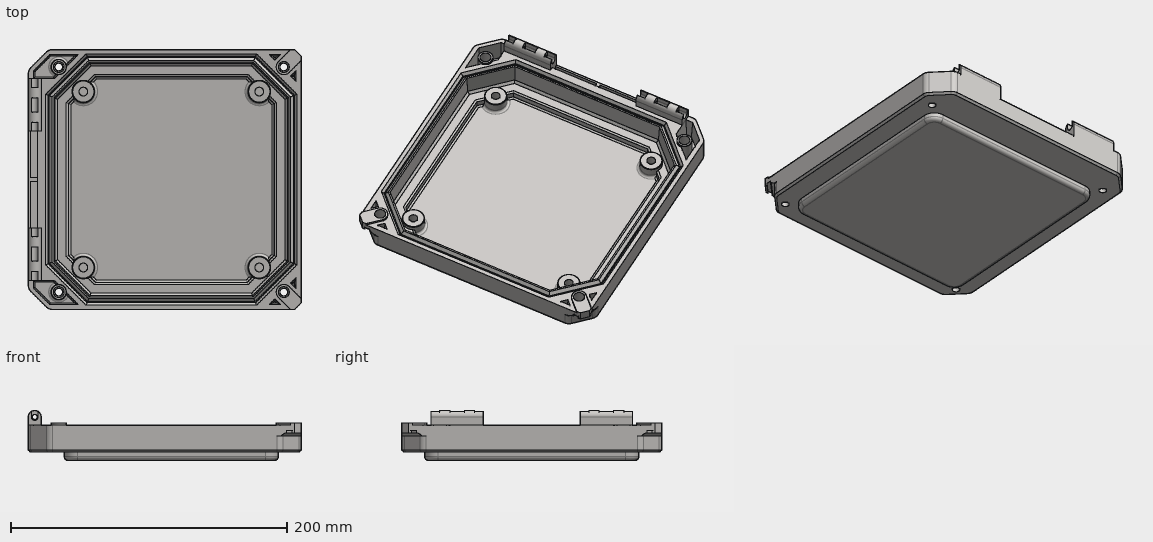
import cadquery as cq
import math


CASE_HALF = 94.2
HINGE_REACH = 9.5
SKIRT_CHAMFER = 15.0
SKIRT_RADIUS = 6.3
WALL = 3.8

FLOOR_Z = 4.4
PANEL_TOP_Z = 6.1
BEVEL_TOP_Z = 7.7
LEDGE_Z = 9.7
RIM_Z = 25.7
COLLAR_Z = 27.3
RECESS_Z = 21.2
SILL_Z = 17.8
EAR_Z = 20.2
EAR_GROOVE_Z = 22.0

HINGE_X = -CASE_HALF - HINGE_REACH
CASE_LENGTH = 2 * CASE_HALF + HINGE_REACH
CASE_CENTER_X = -HINGE_REACH / 2

PANEL_HALF = 77.5
PANEL_RADIUS = 9.5
PANEL_EDGE_RADIUS = 3.0

GROOVE_HALF = 91.0
GROOVE_CHAMFER = 29.3
GROOVE_BOTTOM_OUTER_HALF = 89.2
GROOVE_BOTTOM_INNER_HALF = 88.5
GROOVE_DEPTH = 2.2
LIP_OUTER_HALF = 86.3
LIP_INNER_HALF = 85.0
WALL_FOOT_HALF = 84.0
LEDGE_HALF = 82.3
STEP_HALF = 76.2
FLOOR_HALF = 72.8
STEP_EASE_RUN = 1.5
STEP_EASE_RISE = 0.5
LEDGE_BEVEL = WALL_FOOT_HALF - LEDGE_HALF

POST_SPACING = 127.5
POST_TOP_Z = 12.9
POST_TOP_DIAMETER = 16.2
POST_FOOT_DIAMETER = 16.6
POST_FILLET = 2.0
POST_BEVEL = 0.4
POST_ROOT = 2.0
POST_HOLE = 6.3

SCREW_POSITION = 81.5
SCREW_HOLE = 5.5
SCREW_BORE = 8.0
COLLAR_DIAMETER = 11.0
COLLAR_FILLET = 1.8
COLLAR_BEVEL = 0.2

POCKET_INNER_SUM = 157.9
POCKET_OUTER_SUM = 178.5
POCKET_DRAFT = 4.0
EAR_CHAMFER = 5.0
EAR_GROOVE_START = 3.0
EAR_GROOVE_END = 5.7
NICHE_LENGTH = 8.0
NICHE_START = 71.0

HINGE_CENTER_Y = 54.0
HINGE_LENGTH = 38.0
BARREL_RADIUS = 4.7
BARREL_Z = 31.7
PIN_HOLE = 3.5
SLOT_WIDTH = 5.0
MIDDLE_SLOT_LENGTH = 10.3
END_SLOT_LENGTH = 6.3
BARREL_X = HINGE_X + BARREL_RADIUS
HINGE_INNER_Y = HINGE_CENTER_Y - HINGE_LENGTH / 2
HINGE_OUTER_Y = HINGE_CENTER_Y + HINGE_LENGTH / 2

RECESS_WIDTH = 6.7
RECESS_WALL = 1.5
RECESS_RIB = 3.0

SIDES = (-1, 1)


def octagon(half):
    """Corners of an octagon that is a true offset of the groove outline."""
    chamfer = GROOVE_CHAMFER - (2 - math.sqrt(2)) * (GROOVE_HALF - half)
    flat = half - chamfer
    return [
        (half, flat), (flat, half), (-flat, half), (-half, flat),
        (-half, -flat), (-flat, -half), (flat, -half), (half, -flat),
    ]


def octagon_frustum(low_half, low_z, high_half, high_z):
    return (
        cq.Workplane("XY").workplane(offset=low_z).polyline(octagon(low_half)).close()
        .workplane(offset=high_z - low_z).polyline(octagon(high_half)).close()
        .loft(ruled=True)
    )


def prism(points, low_z, high_z):
    return cq.Workplane("XY").workplane(offset=low_z).polyline(points).close().extrude(high_z - low_z)


def box(x_range, y_range, z_range):
    sizes = [high - low for low, high in (x_range, y_range, z_range)]
    return cq.Workplane("XY").box(*sizes, centered=False).translate((x_range[0], y_range[0], z_range[0]))


def cylinder(x, y, diameter, low_z, high_z):
    return (
        cq.Workplane("XY").workplane(offset=low_z).center(x, y)
        .circle(diameter / 2).extrude(high_z - low_z)
    )


def turned_post(x, y, foot_z, top_z, foot_radius, top_radius, fillet, bevel):
    """Tapered round post with a hollow fillet at its foot and a bevelled top."""
    bulge = fillet * (1 - math.sqrt(0.5))
    post = (
        cq.Workplane("XZ").moveTo(0, foot_z - POST_ROOT).lineTo(foot_radius + fillet, foot_z - POST_ROOT)
        .lineTo(foot_radius + fillet, foot_z)
        .threePointArc((foot_radius + bulge, foot_z + bulge), (foot_radius, foot_z + fillet))
        .lineTo(top_radius, top_z - bevel).lineTo(top_radius - bevel, top_z).lineTo(0, top_z).close()
        .revolve(360, (0, 0, 0), (0, 1, 0))
    )
    return post.translate((x, y, 0))


def outer_shell():
    panel = (
        cq.Workplane("XY").rect(2 * PANEL_HALF, 2 * PANEL_HALF).extrude(LEDGE_Z)
        .edges("|Z").fillet(PANEL_RADIUS)
        .faces("<Z").edges().fillet(PANEL_EDGE_RADIUS)
    )
    skirt = (
        cq.Workplane("XY").workplane(offset=PANEL_TOP_Z).center(CASE_CENTER_X, 0)
        .rect(CASE_LENGTH, 2 * CASE_HALF).extrude(RIM_Z - PANEL_TOP_Z)
        .edges("|Z").chamfer(SKIRT_CHAMFER)
        .edges("|Z").fillet(SKIRT_RADIUS)
        .faces("<Z").edges().chamfer(BEVEL_TOP_Z - PANEL_TOP_Z)
    )
    return skirt.union(panel)


def corner_outline(side, inner):
    """Far corner of the case, cut square across by the ear chamfer; `inner` is where it starts."""
    tip = CASE_HALF - EAR_CHAMFER
    points = [(CASE_HALF, inner), (CASE_HALF, tip), (tip, CASE_HALF), (inner, CASE_HALF)]
    return [(x, side * y) for x, y in points]


def latch_ear(side):
    """Grooved corner overhang on the side away from the hinges, with its raised collar strip."""
    rise = EAR_Z - SILL_Z
    ear_end = SKIRT_CHAMFER
    profile = [
        (-SKIRT_RADIUS, SILL_Z), (0, SILL_Z), (rise, EAR_Z),
        (EAR_GROOVE_START, EAR_Z), (EAR_GROOVE_START, EAR_GROOVE_Z),
        (EAR_GROOVE_END, EAR_GROOVE_Z), (EAR_GROOVE_END, EAR_Z),
        (ear_end, EAR_Z), (ear_end, RIM_Z), (-SKIRT_RADIUS, RIM_Z),
    ]
    chamfer_middle = CASE_HALF - SKIRT_CHAMFER / 2
    ear = (
        cq.Workplane("XZ").polyline(profile).close().extrude(CASE_HALF / 2, both=True)
        .rotate((0, 0, 0), (0, 0, 1), side * 45)
        .translate((chamfer_middle, side * chamfer_middle, 0))
    )
    ear_bounds = prism(corner_outline(side, CASE_HALF - SKIRT_CHAMFER - SKIRT_RADIUS), 0, COLLAR_Z)

    half_strip = COLLAR_DIAMETER / 2
    strip = (
        box((0, CASE_HALF), (-half_strip, half_strip), (RIM_Z, COLLAR_Z))
        .rotate((0, 0, 0), (0, 0, 1), side * 45)
        .translate((SCREW_POSITION, side * SCREW_POSITION, 0))
    )
    strip_bounds = prism(corner_outline(side, 2 * SCREW_POSITION - CASE_HALF), 0, COLLAR_Z)
    collar = cylinder(SCREW_POSITION, side * SCREW_POSITION, COLLAR_DIAMETER, RIM_Z, COLLAR_Z)
    return ear.intersect(ear_bounds).union(strip.intersect(strip_bounds)).union(collar)


def rim_pocket(points):
    """Pocket sunk from the rim, narrowing downward."""
    depth = RIM_Z - LEDGE_Z
    return (
        cq.Workplane("XY").workplane(offset=RIM_Z).polyline(points).close()
        .extrude(-depth, taper=POCKET_DRAFT)
    )


def corner_pocket(side):
    """Pocket round a hinge-side screw hole; the hinge's end face closes it on one side."""
    outer_x = -HINGE_X - WALL
    outer_y = CASE_HALF - WALL
    points = [
        (POCKET_INNER_SUM - outer_y, outer_y),
        (POCKET_OUTER_SUM - outer_y, outer_y),
        (outer_x, POCKET_OUTER_SUM - outer_x),
        (outer_x, HINGE_OUTER_Y),
        (POCKET_INNER_SUM - HINGE_OUTER_Y, HINGE_OUTER_Y),
    ]
    return rim_pocket([(-x, side * y) for x, y in points])


def niches(side):
    """Two small triangular pockets, mirrored about the corner diagonal."""
    base = CASE_HALF - WALL
    middle = NICHE_START + NICHE_LENGTH / 2
    points = [
        (NICHE_START, base), (NICHE_START + NICHE_LENGTH, base), (middle, base - NICHE_LENGTH / 2),
    ]
    along_x = rim_pocket([(x, side * y) for x, y in points])
    along_y = rim_pocket([(y, side * x) for x, y in points])
    return along_x.union(along_y)


def cavity():
    """Octagonal well: floor, eased step, ledge, leaning side wall."""
    sections = [
        (FLOOR_HALF, FLOOR_Z),
        (FLOOR_HALF + STEP_EASE_RUN, FLOOR_Z + STEP_EASE_RISE),
        (STEP_HALF - STEP_EASE_RUN, LEDGE_Z - STEP_EASE_RISE),
        (STEP_HALF, LEDGE_Z),
        (LEDGE_HALF, LEDGE_Z),
        (WALL_FOOT_HALF, LEDGE_Z + LEDGE_BEVEL),
        (LIP_INNER_HALF, RIM_Z),
    ]
    well = cq.Workplane("XY")
    for (low_half, low_z), (high_half, high_z) in zip(sections, sections[1:]):
        if high_z > low_z:
            well = well.union(octagon_frustum(low_half, low_z, high_half, high_z))
    return well


def gasket_groove():
    bottom_z = RIM_Z - GROOVE_DEPTH
    outer = octagon_frustum(GROOVE_BOTTOM_OUTER_HALF, bottom_z, GROOVE_HALF, RIM_Z)
    lip = octagon_frustum(GROOVE_BOTTOM_INNER_HALF, bottom_z, LIP_OUTER_HALF, RIM_Z)
    return outer.cut(lip)


def hinge(side):
    """Round-topped knuckle block with a pin hole and three slots open at the top."""
    start_y = side * HINGE_CENTER_Y - HINGE_LENGTH / 2
    end_y = start_y + HINGE_LENGTH
    x_range = (HINGE_X, HINGE_X + 2 * BARREL_RADIUS)

    def rod(radius, low_y, high_y):
        return (
            cq.Workplane("XZ", origin=(BARREL_X, low_y, BARREL_Z)).circle(radius).extrude(low_y - high_y)
        )

    block = box(x_range, (start_y, end_y), (LEDGE_Z, BARREL_Z)).union(rod(BARREL_RADIUS, start_y, end_y))
    block = block.cut(rod(PIN_HOLE / 2, start_y, end_y))
    slots = (
        (start_y, start_y + END_SLOT_LENGTH),
        (side * HINGE_CENTER_Y - MIDDLE_SLOT_LENGTH / 2, side * HINGE_CENTER_Y + MIDDLE_SLOT_LENGTH / 2),
        (end_y - END_SLOT_LENGTH, end_y),
    )
    slot_x = (BARREL_X - SLOT_WIDTH / 2, BARREL_X + SLOT_WIDTH / 2)
    for low_y, high_y in slots:
        opening = box(slot_x, (low_y, high_y), (BARREL_Z, BARREL_Z + 2 * BARREL_RADIUS))
        block = block.cut(opening.union(rod(SLOT_WIDTH / 2, low_y, high_y)))
    return block


def hinge_gap():
    """Lowered edge between the hinges with a trough behind it, split by a rib."""
    y_range = (-HINGE_INNER_Y, HINGE_INNER_Y)
    inner_x = HINGE_X + RECESS_WIDTH
    gap = box((HINGE_X, inner_x), y_range, (RECESS_Z, RIM_Z))
    trough = box((HINGE_X + RECESS_WALL, inner_x), y_range, (LEDGE_Z, RECESS_Z))
    rib = box((HINGE_X, inner_x), (-RECESS_RIB / 2, RECESS_RIB / 2), (LEDGE_Z, RECESS_Z))
    return gap.union(trough.cut(rib))


result = outer_shell()

for side in SIDES:
    result = result.union(latch_ear(side))
    result = result.cut(corner_pocket(side)).cut(niches(side))
    collar = turned_post(
        -SCREW_POSITION, side * SCREW_POSITION, LEDGE_Z, COLLAR_Z,
        COLLAR_DIAMETER / 2, COLLAR_DIAMETER / 2, COLLAR_FILLET, COLLAR_BEVEL,
    )
    result = result.union(collar)

result = result.cut(cavity()).cut(gasket_groove()).cut(hinge_gap())
for side in SIDES:
    result = result.union(hinge(side))

for x_side in SIDES:
    for y_side in SIDES:
        post_x = x_side * POST_SPACING / 2
        post_y = y_side * POST_SPACING / 2
        post = turned_post(
            post_x, post_y, FLOOR_Z, POST_TOP_Z,
            POST_FOOT_DIAMETER / 2, POST_TOP_DIAMETER / 2, POST_FILLET, POST_BEVEL,
        )
        result = result.union(post)
        result = result.cut(cylinder(post_x, post_y, POST_HOLE, FLOOR_Z, POST_TOP_Z))
        screw_x = x_side * SCREW_POSITION
        screw_y = y_side * SCREW_POSITION
        result = result.cut(cylinder(screw_x, screw_y, SCREW_HOLE, 0, COLLAR_Z))
        result = result.cut(cylinder(screw_x, screw_y, SCREW_BORE, LEDGE_Z, COLLAR_Z))